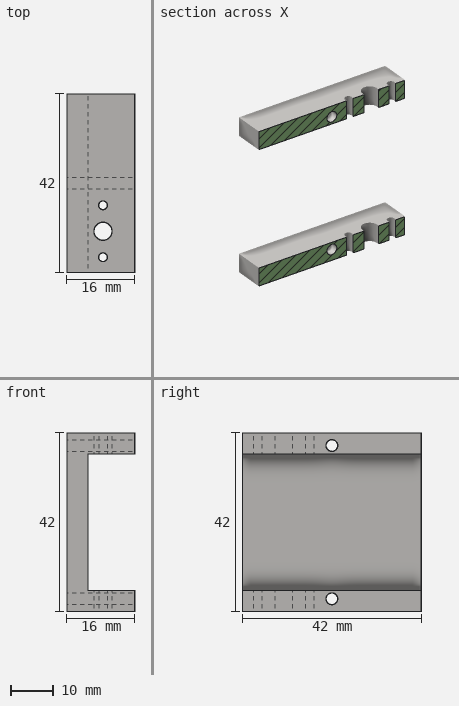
import cadquery as cq

depth = 16.0
width = 42.0
height = 42.0
back_thickness = 5.0
flange_thickness = 5.0

port_diameter = 4.2
port_x = 8.5
port_y = 9.7
screw_diameter = 2.0
screw_offset = 6.1

mount_diameter = 2.7
mount_edge_distance = 3.0


def channel():
    """U-shaped channel with its back on the X = 0 plane."""
    block = cq.Workplane("XY").box(depth, width, height, centered=False)
    opening = (
        cq.Workplane("XY")
        .box(depth - back_thickness, width, height - 2 * flange_thickness, centered=False)
        .translate((back_thickness, 0, flange_thickness))
    )
    return block.cut(opening)


def vertical_hole(y, diameter):
    """Cylinder along Z that passes through both flanges."""
    return cq.Workplane("XY").center(port_x, y).circle(diameter / 2).extrude(height)


def mounting_hole(z):
    """Cylinder along X, centred across the width."""
    return cq.Workplane("YZ").center(width / 2, z).circle(mount_diameter / 2).extrude(depth)


result = channel()

result = result.cut(vertical_hole(port_y, port_diameter))
for side in (-1, 1):
    result = result.cut(vertical_hole(port_y + side * screw_offset, screw_diameter))

for z in (mount_edge_distance, height - mount_edge_distance):
    result = result.cut(mounting_hole(z))